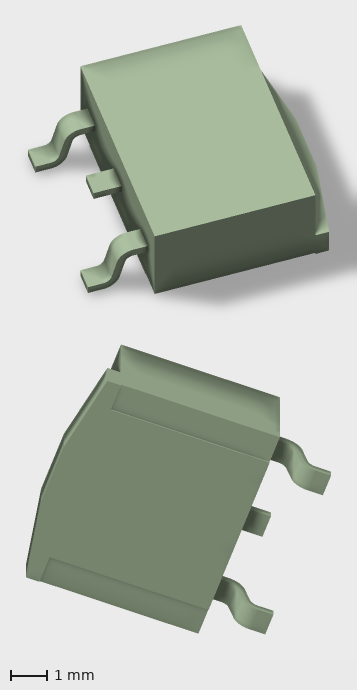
import cadquery as cq
import math


overall_length = 7.27

housing_width = 6.5
housing_length = 4.705
total_height = 2.54
standoff = 0.05

mark_diameter = 0.33
mark_depth = 0.05
mark_from_side = 0.95
mark_from_front = 0.64
mark_x = mark_from_side - housing_width / 2

tab_thickness = 0.81
tab_side_length = 0.4
tab_overhang = 0.82
tab_flat_width = 1.82
tongue_width = 4.87

lead_thickness = 0.25
lead_top = 1.42
lead_width = 0.655
lead_spacing = 4.6
lead_reach = overall_length - housing_length - tab_overhang
shoulder_length = 0.42
inner_radius = lead_thickness
outer_radius = inner_radius + lead_thickness
bend_angle = 75.0
stub_width = 0.675
stub_length = 0.815


def make_mark():
    return (
        cq.Workplane("XY", origin=(mark_x, mark_from_front, total_height - mark_depth))
        .circle(mark_diameter / 2)
        .extrude(mark_depth)
    )


def make_housing(mark):
    block = cq.Workplane("XY", origin=(0, 0, standoff)).box(
        housing_width, housing_length, total_height - standoff, centered=(True, False, False)
    )
    return block.cut(mark)


def make_tab():
    side_x = housing_width / 2
    flat_x = tab_flat_width / 2
    corner_y = housing_length + tab_side_length
    rear_y = housing_length + tab_overhang
    block = (
        cq.Workplane("XY")
        .moveTo(-side_x, housing_length)
        .lineTo(side_x, housing_length)
        .lineTo(side_x, corner_y)
        .lineTo(flat_x, rear_y)
        .lineTo(-flat_x, rear_y)
        .lineTo(-side_x, corner_y)
        .close()
        .extrude(tab_thickness)
    )
    tongue = cq.Workplane("XY").box(
        tongue_width, housing_length, standoff, centered=(True, False, False)
    )
    return block.union(tongue)


def make_lead(x):
    """Gull-wing strip with two equal and opposite bends, reaching toward -Y."""
    upper_y = -shoulder_length
    upper_z = lead_top - outer_radius
    lower_z = standoff + outer_radius
    angle = math.radians(bend_angle)
    radius_sum = inner_radius + outer_radius
    leg_drop = upper_z - lower_z + radius_sum * math.cos(angle)
    lower_y = upper_y - radius_sum * math.sin(angle) - leg_drop / math.tan(angle)

    def upper(radius, turn):
        return (upper_y - radius * math.sin(turn), upper_z + radius * math.cos(turn))

    def lower(radius, turn):
        return (lower_y + radius * math.sin(turn), lower_z - radius * math.cos(turn))

    half = angle / 2
    profile = (
        cq.Workplane("YZ", origin=(x - lead_width / 2, 0, 0))
        .moveTo(0, lead_top)
        .lineTo(*upper(outer_radius, 0))
        .threePointArc(upper(outer_radius, half), upper(outer_radius, angle))
        .lineTo(*lower(inner_radius, angle))
        .threePointArc(lower(inner_radius, half), lower(inner_radius, 0))
        .lineTo(-lead_reach, standoff + lead_thickness)
        .lineTo(-lead_reach, standoff)
        .lineTo(*lower(outer_radius, 0))
        .threePointArc(lower(outer_radius, half), lower(outer_radius, angle))
        .lineTo(*upper(inner_radius, angle))
        .threePointArc(upper(inner_radius, half), upper(inner_radius, 0))
        .lineTo(0, lead_top - lead_thickness)
        .close()
    )
    return profile.extrude(lead_width)


def make_stub():
    """Cropped middle lead, level with the shoulders of the outer leads."""
    return cq.Workplane("XY", origin=(0, -stub_length, lead_top - lead_thickness)).box(
        stub_width, stub_length, lead_thickness, centered=(True, False, False)
    )


mark = make_mark()
housing = make_housing(mark)
tab = make_tab()
stub = make_stub()
leads = [make_lead(side * lead_spacing / 2) for side in (-1, 1)]

result = cq.Compound.makeCompound(
    [housing.val(), mark.val(), tab.val(), stub.val(), *[lead.val() for lead in leads]]
)